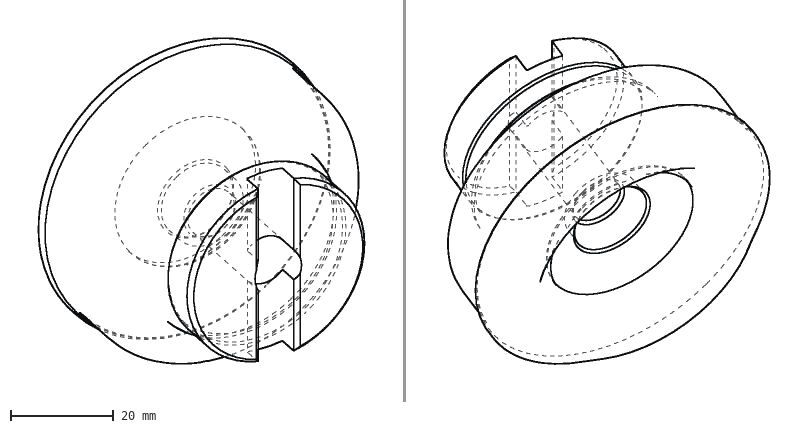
import cadquery as cq
import math


rim_radius = 32.35
ring_length = 9.0
lip_outer_radius = 25.35
lip_edge_round = 0.65
rim_back_round = 0.4

lip_inner_radius = 23.5
entry_radius = 22.3
entry_depth = 1.5
throat_depth = 7.1
recess_radius = 16.3
lip_inner_round = 0.5
throat_round = 1.3

drum_radius = 31.6
drum_flare_round = 1.0
drum_end = 22.45
drum_round = 4.0
shoulder_angle = math.radians(60)
collar_radius = 21.55
collar_end = 30.3
collar_round = 1.5
neck_radius = 19.6
neck_round = 1.3
neck_end = 35.5
coupling_radius = 20.0
coupling_start = 36.1
coupling_chamfer = 1.0
total_length = 44.45

recess_floor = 9.95
recess_floor_round = recess_floor - ring_length
funnel_mouth_radius = 12.55
funnel_end_radius = 10.0
funnel_floor = 12.2
funnel_round = 0.65
seat_radius = 8.0
seat_floor = 17.65
seat_chamfer = 0.5
seat_floor_round = 1.05
hole_radius = 5.25
hole_chamfer = 0.6

slot_width = 8.0
slot_floor = 39.1
slot_corner_round = 0.3
slot_mouth_chamfer = 0.9


def turn(profile):
    """Revolve a closed (x, radius) profile about the X axis."""
    return profile.close().revolve(360, (0, 0, 0), (1, 0, 0))


def rim_edge(body, x, radius):
    """Select the circular edge of the given radius at position x."""
    tolerance = 0.005

    def matches(edge):
        if edge.geomType() != "CIRCLE":
            return False
        same_place = abs(edge.Center().x - x) < tolerance
        return same_place and abs(edge.radius() - radius) < tolerance

    return body.edges().filter(matches)


def round_edges(body, edges):
    """Fillet each (x, edge radius, fillet radius) in turn."""
    for x, radius, fillet in edges:
        body = rim_edge(body, x, radius).fillet(fillet)
    return body


def make_front_ring():
    cone_end = rim_radius - lip_outer_radius
    outline = [
        (0, lip_inner_radius),
        (0, lip_outer_radius),
        (cone_end, rim_radius),
        (ring_length, rim_radius),
        (ring_length, recess_radius),
        (throat_depth, recess_radius),
        (entry_depth, entry_radius),
    ]
    ring = turn(cq.Workplane("XY").polyline(outline))
    return round_edges(ring, [
        (0, lip_outer_radius, lip_edge_round),
        (cone_end, rim_radius, lip_edge_round),
        (ring_length, rim_radius, rim_back_round),
        (0, lip_inner_radius, lip_inner_round),
        (throat_depth, recess_radius, throat_round),
    ])


def make_body_blank():
    """Outside of the main body, closed to the axis."""
    slope = math.tan(shoulder_angle)
    front_radius = rim_radius - rim_back_round
    flare_height = front_radius - drum_radius
    flare_length = math.sqrt(flare_height * (2 * drum_flare_round - flare_height))
    shoulder_end = drum_end + (drum_radius - collar_radius) / slope
    flank_end = collar_end + (collar_radius - neck_radius) / slope
    profile = (
        cq.Workplane("XY")
        .moveTo(ring_length, 0)
        .lineTo(ring_length, front_radius)
        .radiusArc((ring_length + flare_length, drum_radius), -drum_flare_round)
        .lineTo(drum_end, drum_radius)
        .lineTo(shoulder_end, collar_radius)
        .lineTo(collar_end, collar_radius)
        .lineTo(flank_end, neck_radius)
        .lineTo(neck_end, neck_radius)
        .lineTo(coupling_start, coupling_radius)
        .lineTo(total_length - coupling_chamfer, coupling_radius)
        .lineTo(total_length, coupling_radius - coupling_chamfer)
        .lineTo(total_length, 0)
    )
    return round_edges(turn(profile), [
        (drum_end, drum_radius, drum_round),
        (shoulder_end, collar_radius, collar_round),
        (collar_end, collar_radius, collar_round),
        (flank_end, neck_radius, neck_round),
    ])


def make_bore():
    """Stepped hole through the main body, as a solid to cut away."""
    floor_radius = recess_radius - recess_floor_round
    outline = [
        (recess_floor, floor_radius),
        (recess_floor, funnel_mouth_radius),
        (funnel_floor, funnel_end_radius),
        (funnel_floor, seat_radius + seat_chamfer),
        (funnel_floor + seat_chamfer, seat_radius),
        (seat_floor, seat_radius),
        (seat_floor, hole_radius + hole_chamfer),
        (seat_floor + hole_chamfer, hole_radius),
        (total_length, hole_radius),
        (total_length, 0),
    ]
    corner_point = (
        ring_length + recess_floor_round * math.sin(math.pi / 4),
        floor_radius + recess_floor_round * math.cos(math.pi / 4),
    )
    profile = (
        cq.Workplane("XY")
        .moveTo(ring_length, 0)
        .lineTo(ring_length, recess_radius)
        .threePointArc(corner_point, outline[0])
        .polyline(outline, includeCurrent=False)
    )
    return round_edges(turn(profile), [
        (recess_floor, funnel_mouth_radius, funnel_round),
        (funnel_floor, funnel_end_radius, funnel_round),
        (seat_floor, seat_radius, seat_floor_round),
    ])


def make_slot():
    """Drive slot with rounded floor corners and a flared mouth, running along Z."""
    half_width = slot_width / 2
    mouth_half_width = half_width + slot_mouth_chamfer
    outline = [
        (slot_floor, -half_width),
        (slot_floor, half_width),
        (total_length - slot_mouth_chamfer, half_width),
        (total_length, mouth_half_width),
        (total_length, -mouth_half_width),
        (total_length - slot_mouth_chamfer, -half_width),
    ]
    slot = cq.Workplane("XY").polyline(outline).close().extrude(coupling_radius, both=True)
    return slot.edges("|Z and <X").fillet(slot_corner_round)


def make_main_body():
    body = make_body_blank().cut(make_bore())
    return body.cut(make_slot())


front_ring = make_front_ring()
main_body = make_main_body()
result = cq.Compound.makeCompound([front_ring.val(), main_body.val()])